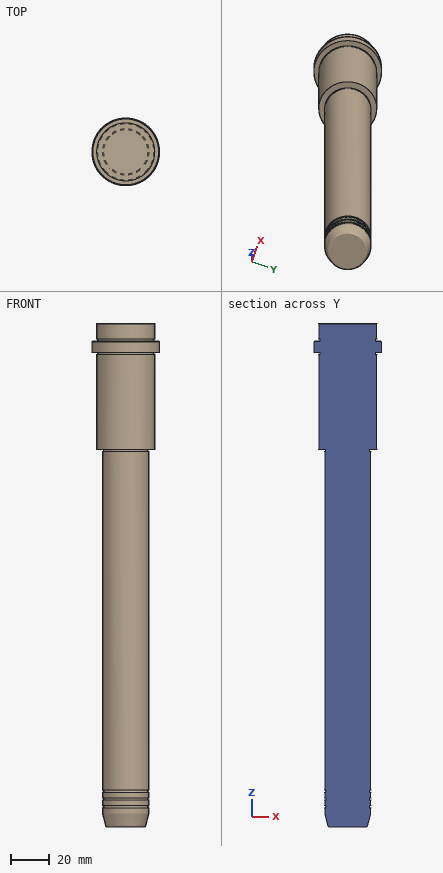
import cadquery as cq
import math

total_length = 260.0

collar_diameter = 35.0
collar_height = 6.0
collar_chamfer = 0.5

shank_diameter = 30.0
head_height = 9.0
shank_length = 50.0

shaft_diameter = 24.0

relief_width = 1.0
relief_depth = 0.5

groove_count = 3
groove_pitch = 4.0
groove_radius = 0.6
first_groove_level = 10.5

taper_height = 7.0
taper_angle = 14.5
tip_fillet = 0.8

collar_top = total_length - head_height
collar_bottom = collar_top - collar_height
shank_bottom = collar_bottom - shank_length


def cylinder(diameter, bottom, top):
    """Solid cylinder on the Z axis between two levels."""
    return cq.Workplane("XY").workplane(offset=bottom).circle(diameter / 2).extrude(top - bottom)


def make_shaft():
    """Guide shaft with a conical lead-in and a rounded tip."""
    shaft_radius = shaft_diameter / 2
    tip_radius = shaft_radius - taper_height * math.tan(math.radians(taper_angle))
    profile = [
        (0, 0),
        (tip_radius, 0),
        (shaft_radius, taper_height),
        (shaft_radius, shank_bottom),
        (0, shank_bottom),
    ]
    shaft = cq.Workplane("XZ").polyline(profile).close().revolve(360, (0, 0), (0, 1))
    return shaft.faces("<Z").edges().fillet(tip_fillet)


def make_collar():
    """Locating collar with its upper rim chamfered."""
    collar = cylinder(collar_diameter, collar_bottom, collar_top)
    return collar.faces(">Z").edges().chamfer(collar_chamfer)


def cut_relief(body, diameter, bottom):
    """Cut a shallow square ring groove into a cylinder of the given diameter."""
    top = bottom + relief_width
    ring = cylinder(diameter, bottom, top).cut(cylinder(diameter - 2 * relief_depth, bottom, top))
    return body.cut(ring)


def cut_lubrication_groove(body, level):
    """Cut a half-round ring groove into the shaft at the given level."""
    ring = cq.Solid.makeTorus(shaft_diameter / 2, groove_radius, cq.Vector(0, 0, level), cq.Vector(0, 0, 1))
    return body.cut(cq.Workplane(obj=ring))


shaft = cut_relief(make_shaft(), shaft_diameter, shank_bottom - relief_width)
for index in range(groove_count):
    shaft = cut_lubrication_groove(shaft, first_groove_level + index * groove_pitch)

shank = cylinder(shank_diameter, shank_bottom, total_length)
shank = cut_relief(shank, shank_diameter, collar_top)
shank = cut_relief(shank, shank_diameter, collar_bottom - relief_width)

result = shaft.union(shank).union(make_collar())